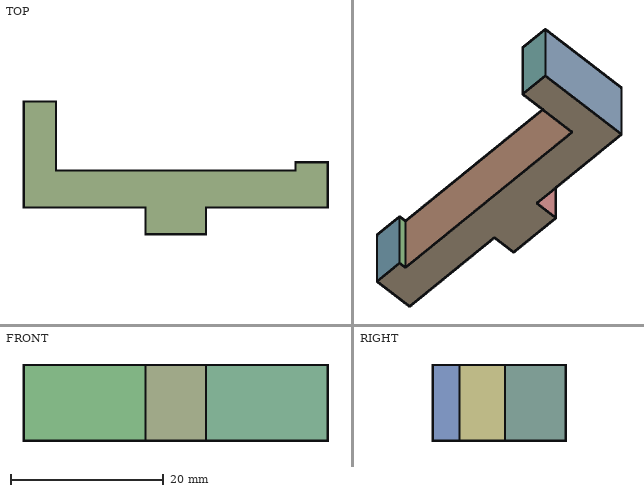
import cadquery as cq

length = 40.0
total_depth = 17.5
height = 10.0

bar_depth = 4.9

end_width = 4.3
arm_depth = 14.0
lip_depth = 6.0
tab_width = 8.0
tab_depth = total_depth - arm_depth


def block(x_start, y_start, width, depth):
    """Full-height block with its lowest corner at (x_start, y_start, 0)."""
    return cq.Workplane("XY").box(width, depth, height, centered=False).translate((x_start, y_start, 0))


bar = block(0, 0, length, bar_depth)
arm = block(0, 0, end_width, arm_depth)
lip = block(length - end_width, 0, end_width, lip_depth)

tab = block((length - tab_width) / 2, -tab_depth, tab_width, tab_depth)

result = bar.union(arm).union(lip).union(tab).clean()